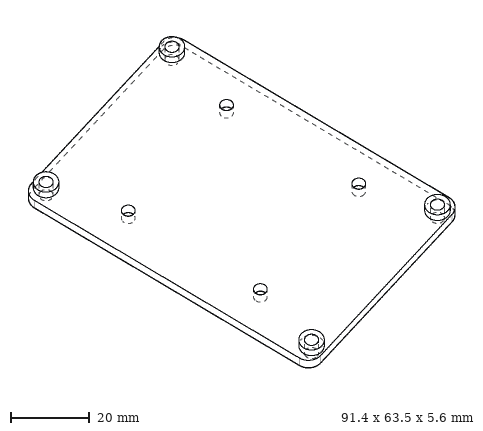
import cadquery as cq

plate_length = 91.4
plate_width = 63.5
plate_thickness = 3.2
corner_radius = 3.8

total_height = 5.6
standoff_height = total_height - plate_thickness
standoff_diameter = 6.5
standoff_hole_diameter = 3.6
standoff_spacing_x = 83.9
standoff_spacing_y = 53.5

mount_hole_diameter = 3.5
mount_hole_spacing = 41.8
mount_pattern_offset_y = 0.7


def make_plate():
    """Flat plate with rounded vertical corners, resting on Z = 0."""
    plate = cq.Workplane("XY").box(
        plate_length, plate_width, plate_thickness, centered=(True, True, False)
    )
    return plate.edges("|Z").fillet(corner_radius)


def four_cylinders(spacing_x, spacing_y, diameter, bottom, height, center_y=0.0):
    """Four upright cylinders on the corners of a rectangle."""
    return (
        cq.Workplane("XY", origin=(0, center_y, bottom))
        .rect(spacing_x, spacing_y, forConstruction=True)
        .vertices()
        .circle(diameter / 2)
        .extrude(height)
    )


standoffs = four_cylinders(
    standoff_spacing_x, standoff_spacing_y, standoff_diameter, plate_thickness, standoff_height
)
standoff_holes = four_cylinders(
    standoff_spacing_x, standoff_spacing_y, standoff_hole_diameter, 0, total_height
)
mount_holes = four_cylinders(
    mount_hole_spacing,
    mount_hole_spacing,
    mount_hole_diameter,
    0,
    plate_thickness,
    center_y=mount_pattern_offset_y,
)

result = make_plate().union(standoffs).cut(standoff_holes).cut(mount_holes)